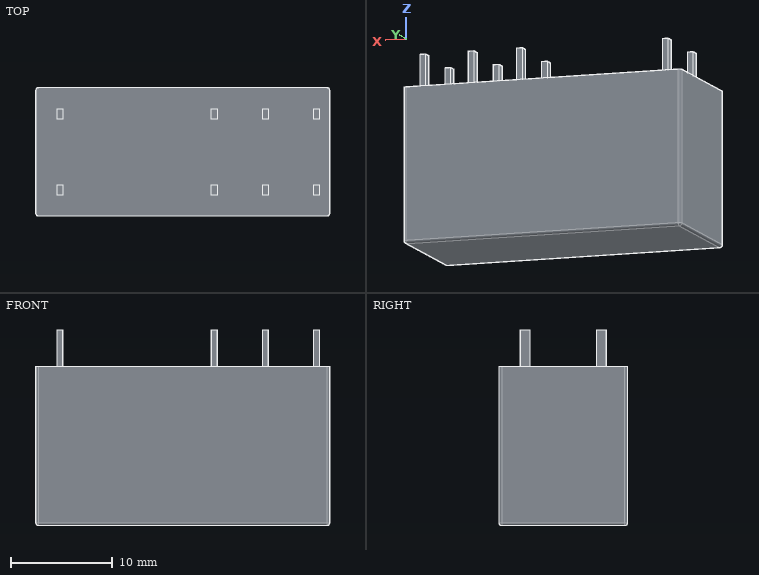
import cadquery as cq

case_length = 29.0
case_width = 12.7
total_height = 19.3
pin_height = 3.6
case_height = total_height - pin_height
edge_radius = 0.3

pin_thickness = 0.6
pin_width = 1.0
row_spacing = 7.5
end_pin_inset = 2.38
contact_gap = 15.22
contact_count = 3
contact_pitch = 5.05


def make_case():
    case = cq.Workplane("XY").box(
        case_length, case_width, case_height, centered=(True, True, False)
    )
    return case.edges("|Z or <Z").fillet(edge_radius)


def pin_positions():
    first_x = -case_length / 2 + end_pin_inset
    contact_x = first_x + contact_gap
    column_x = [first_x] + [contact_x + i * contact_pitch for i in range(contact_count)]
    return [(x, side * row_spacing / 2) for x in column_x for side in (-1, 1)]


def make_pins():
    return (
        cq.Workplane("XY", origin=(0, 0, case_height))
        .pushPoints(pin_positions())
        .rect(pin_thickness, pin_width)
        .extrude(pin_height)
    )


result = make_case().union(make_pins())